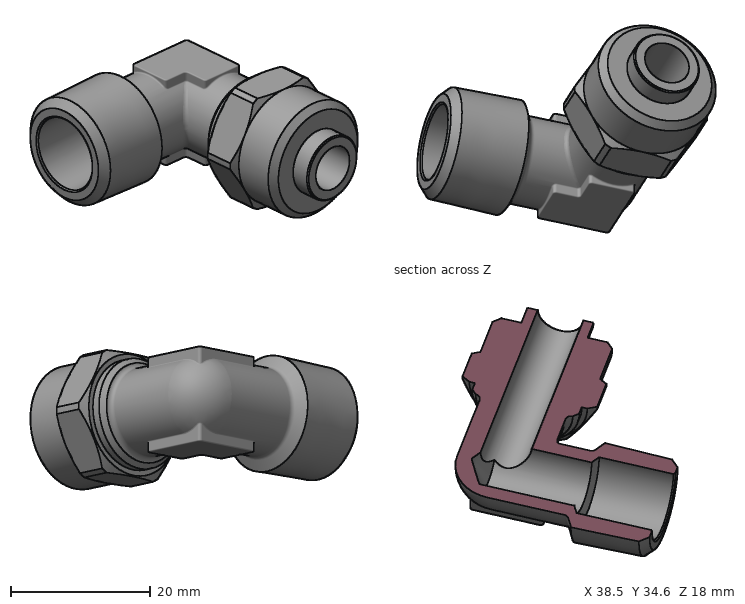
import cadquery as cq
import math


pipe_radius = 6.45
neck_fillet = 0.8
inner_bend_fillet = 0.58

thread_start = 13.15
thread_end = 24.5
thread_root_radius = 8.45
thread_tip_radius = 8.23
thread_chamfer = 1.23
thread_shoulder_angle = math.radians(60)

collar_start = 11.1
collar_radius = 8.05
nut_sides = 6
nut_start = 13.95
nut_end = 19.95
nut_flat_radius = 9.0
nut_corner_radius = 10.1
nut_face_radius = 8.85
nut_chamfer_angle = math.radians(30)
sleeve_end = 27.0
sleeve_chamfer = 1.05
stub_radius = 5.0
stub_end = 30.0
stub_chamfer = 0.2

pad_height = 6.95
pad_back = 3.55
pad_front = 7.45
pad_notch = 3.45
pad_corner_radius = 0.45
pad_edge_fillet = 0.2
pad_base_fillet = 0.23

mouth_radius = 5.55
mouth_chamfer = 0.23
mouth_end = 13.15
main_bore_radius = 4.25
main_bore_end = 1.8
cross_bore_radius = 3.4
drill_slope = math.tan(math.radians(30))

select_margin = 0.08


def turned_along_x(profile):
    """Revolve a closed profile of (axial, radial) points about the X axis."""
    return profile.close().revolve(360, (0, 0, 0), (1, 0, 0))


def turned_along_minus_y(profile):
    """Revolve a profile about X, then swing it onto the -Y axis."""
    return turned_along_x(profile).rotate((0, 0, 0), (0, 0, 1), -90)


def threaded_leg():
    fillet_rise = neck_fillet * (1 - math.cos(thread_shoulder_angle))
    fillet_length = neck_fillet * math.sin(thread_shoulder_angle)
    fillet_radius_end = pipe_radius + fillet_rise
    cone_length = (thread_root_radius - fillet_radius_end) / math.tan(thread_shoulder_angle)
    fillet_end = thread_start - cone_length
    fillet_start = fillet_end - fillet_length
    half_angle = thread_shoulder_angle / 2
    fillet_middle = (
        fillet_start + neck_fillet * math.sin(half_angle),
        pipe_radius + neck_fillet * (1 - math.cos(half_angle)),
    )
    profile = (
        cq.Workplane("XY")
        .lineTo(0, pipe_radius)
        .lineTo(fillet_start, pipe_radius)
        .threePointArc(fillet_middle, (fillet_end, fillet_radius_end))
        .lineTo(thread_start, thread_root_radius)
        .lineTo(thread_end - thread_chamfer, thread_tip_radius)
        .lineTo(thread_end, thread_tip_radius - thread_chamfer)
        .lineTo(thread_end, 0)
    )
    return turned_along_minus_y(profile)


def nut_leg():
    shoulder = collar_start + neck_fillet
    shoulder_radius = pipe_radius + neck_fillet
    collar_chamfer = collar_radius - shoulder_radius
    profile = (
        cq.Workplane("XY")
        .lineTo(0, pipe_radius)
        .lineTo(collar_start, pipe_radius)
        .radiusArc((shoulder, shoulder_radius), -neck_fillet)
        .lineTo(shoulder + collar_chamfer, collar_radius)
        .lineTo(nut_start, collar_radius)
        .lineTo(nut_end, nut_flat_radius)
        .lineTo(sleeve_end - sleeve_chamfer, nut_flat_radius)
        .lineTo(sleeve_end, nut_flat_radius - sleeve_chamfer)
        .lineTo(sleeve_end, stub_radius)
        .lineTo(stub_end - stub_chamfer, stub_radius)
        .lineTo(stub_end, stub_radius - stub_chamfer)
        .lineTo(stub_end, 0)
    )
    return turned_along_x(profile)


def hex_nut():
    """Hexagon with two flats facing up and down, turned down at its corners and both faces."""
    hexagon = (
        cq.Workplane("YZ", origin=(nut_start, 0, 0))
        .polygon(nut_sides, 2 * nut_flat_radius, circumscribed=True)
        .extrude(nut_end - nut_start)
        .rotate((0, 0, 0), (1, 0, 0), 180 / nut_sides)
    )
    slope = math.tan(nut_chamfer_angle)
    envelope = (
        cq.Workplane("XY")
        .moveTo(nut_start, 0)
        .lineTo(nut_start, nut_face_radius)
        .lineTo(nut_start + (nut_corner_radius - nut_face_radius) * slope, nut_corner_radius)
        .lineTo(nut_end - (nut_corner_radius - nut_flat_radius) * slope, nut_corner_radius)
        .lineTo(nut_end, nut_flat_radius)
        .lineTo(nut_end, 0)
    )
    return hexagon.intersect(turned_along_x(envelope))


def wrench_pads():
    outline = [
        (-pad_back, pad_back),
        (pad_front, pad_back),
        (pad_front, -pad_notch),
        (pad_notch, -pad_notch),
        (pad_notch, -pad_front),
        (-pad_back, -pad_front),
    ]
    return (
        cq.Workplane("XY", origin=(0, 0, -pad_height))
        .polyline(outline)
        .close()
        .extrude(2 * pad_height)
        .edges("|Z")
        .fillet(pad_corner_radius)
        .faces("<Z or >Z")
        .edges()
        .fillet(pad_edge_fillet)
    )


def main_bore():
    """Stepped blind bore with a drill point, entering through the threaded end."""
    step_length = (mouth_radius - main_bore_radius) * drill_slope
    drill_tip = -main_bore_end - main_bore_radius * drill_slope
    profile = (
        cq.Workplane("XY")
        .moveTo(drill_tip, 0)
        .lineTo(-main_bore_end, main_bore_radius)
        .lineTo(mouth_end - step_length, main_bore_radius)
        .lineTo(mouth_end, mouth_radius)
        .lineTo(thread_end - mouth_chamfer, mouth_radius)
        .lineTo(thread_end, mouth_radius + mouth_chamfer)
        .lineTo(thread_end, 0)
    )
    return turned_along_minus_y(profile)


def cross_bore():
    return cq.Workplane("YZ").circle(cross_bore_radius).extrude(stub_end)


def plain_elbow():
    """Both legs joined by a ball, with the sharp inner side of the bend rounded."""
    elbow = cq.Workplane("XY").sphere(pipe_radius).union(threaded_leg()).union(nut_leg())
    reach = pipe_radius + select_margin
    inner_bend = cq.selectors.BoxSelector(
        (-select_margin, select_margin, -reach),
        (reach, -reach, reach),
        boundingbox=True,
    )
    return elbow.edges(inner_bend).fillet(inner_bend_fillet)


def add_pads(elbow):
    """Join the pads to the elbow and round the seams where their walls meet it."""
    padded = elbow.union(wrench_pads())
    seam_top = pad_height - pad_edge_fillet - select_margin
    for side in (1, -1):
        seam = cq.selectors.BoxSelector(
            (-pad_back - select_margin, -pad_front - select_margin, side * select_margin),
            (pad_front + select_margin, pad_back + select_margin, side * seam_top),
            boundingbox=True,
        )
        padded = padded.edges(seam).fillet(pad_base_fillet)
    return padded


body = add_pads(plain_elbow()).union(hex_nut())
result = body.cut(main_bore()).cut(cross_bore())